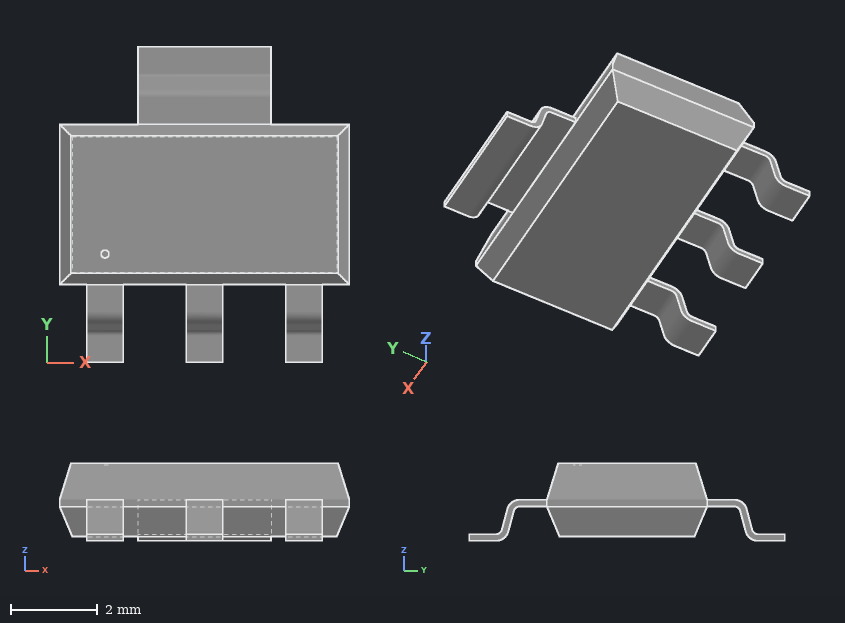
import cadquery as cq
import math

span = 7.3
overall_height = 1.8

housing_length = 6.7
housing_width = 3.71
band_top = 0.955
housing_bottom = 0.1
top_inset = 0.26
bottom_inset = 0.29

sheet = 0.16
inner_bend = 0.14
outer_bend = inner_bend + sheet
bend_angle = math.radians(75)
foot_flat = 0.62
lead_width = 0.85
lead_pitch = 2.3
tab_width = 3.08

marker_diameter = 0.18
marker_depth = 0.04
marker_x = -lead_pitch
marker_y = -1.145

band_bottom = band_top - sheet


def make_taper(start_z, end_z, inset):
    """Block from the full housing rectangle to one inset on every side."""
    return (
        cq.Workplane("XY", origin=(0, 0, start_z))
        .rect(housing_length, housing_width)
        .workplane(offset=end_z - start_z)
        .rect(housing_length - 2 * inset, housing_width - 2 * inset)
        .loft(ruled=True)
    )


def make_marker():
    """Thin disc let into the housing top."""
    return (
        cq.Workplane("XY", origin=(marker_x, marker_y, overall_height - marker_depth))
        .circle(marker_diameter / 2)
        .extrude(marker_depth)
    )


def make_housing():
    """Tapered housing with a recess for the marker."""
    band = (
        cq.Workplane("XY", origin=(0, 0, band_bottom))
        .rect(housing_length, housing_width)
        .extrude(sheet)
    )
    upper = make_taper(band_top, overall_height, top_inset)
    lower = make_taper(band_bottom, housing_bottom, bottom_inset)
    return band.union(upper).union(lower).cut(make_marker()).solids()


def make_gull_wing(width, center_x):
    """Bent strip from the -Y housing face down to a foot at Z = 0."""
    tip_y = -span / 2
    face_y = -housing_width / 2
    half_tangent = math.tan(bend_angle / 2)
    miter_shift = sheet * half_tangent

    foot_top_y = tip_y + foot_flat + inner_bend * half_tangent
    foot_bottom_y = foot_top_y + miter_shift
    shoulder_top_y = foot_top_y + band_bottom / math.tan(bend_angle)
    shoulder_bottom_y = shoulder_top_y + miter_shift

    strip = (
        cq.Workplane("YZ", origin=(center_x - width / 2, 0, 0))
        .moveTo(tip_y, 0)
        .lineTo(foot_bottom_y, 0)
        .lineTo(shoulder_bottom_y, band_bottom)
        .lineTo(face_y, band_bottom)
        .lineTo(face_y, band_top)
        .lineTo(shoulder_top_y, band_top)
        .lineTo(foot_top_y, sheet)
        .lineTo(tip_y, sheet)
        .close()
        .extrude(width)
    )

    def round_bend(body, y, z, radius):
        edge = cq.selectors.NearestToPointSelector((center_x, y, z))
        return body.edges("|X").edges(edge).fillet(radius)

    strip = round_bend(strip, foot_bottom_y, 0, outer_bend)
    strip = round_bend(strip, foot_top_y, sheet, inner_bend)
    strip = round_bend(strip, shoulder_bottom_y, band_bottom, inner_bend)
    return round_bend(strip, shoulder_top_y, band_top, outer_bend).solids()


def make_tab():
    """Wide gull-wing strip on the +Y side."""
    return make_gull_wing(tab_width, 0).mirror("XZ").solids()


housing = make_housing()
marker = make_marker()
tab = make_tab()
leads = [make_gull_wing(lead_width, place * lead_pitch) for place in (-1, 0, 1)]

result = cq.Compound.makeCompound(
    [housing.val(), marker.val(), tab.val(), *[lead.val() for lead in leads]]
)